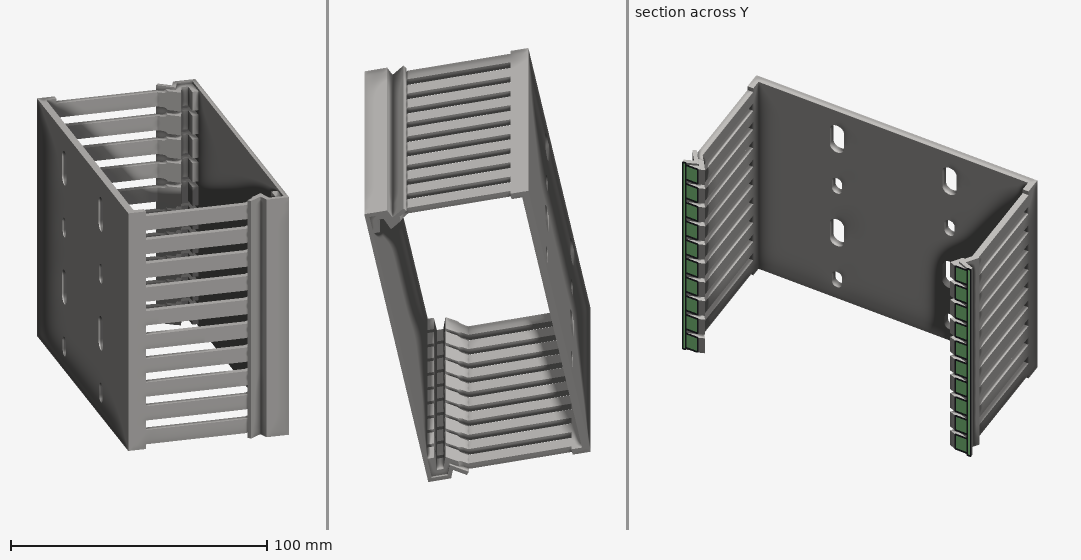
import cadquery as cq
import math

WIDTH = 128.4
DEPTH = 65.0
HEIGHT = 100.0
FRONT_Y = -DEPTH / 2
BACK_Y = DEPTH / 2

COVER_THICKNESS = 1.7
FINGER_THICKNESS = 2.6
FLOOR_THICKNESS = 3.0

JOINT_HALF_WIDTH = WIDTH / 2 - COVER_THICKNESS
SHOULDER_DEPTH = 8.0
WAIST_INSET = 4.6
WAIST_DEPTH = 9.8
COVER_EDGE_DEPTH = 16.4
OUTER_BEND_DEPTH = 17.0
INNER_BEND_DEPTH = 16.7
HEAD_CORNER_DEPTH = 6.8
HEAD_TIP_INSET = 8.0
HEAD_TIP_DEPTH = 8.7
LIP_LENGTH = 8.5

BASE_SIDE_HEIGHT = 7.2

FINGER_COUNT = 10
FINGER_PITCH = HEIGHT / FINGER_COUNT
SLOT_WIDTH = 4.0
SLOT_ROUND_DEPTH = 14.9
SLIT_WIDTH = 2.0

HOLE_COLUMN_X = 25.0
HOLE_PITCH = 25.0
FIRST_HOLE_DEPTH = 14.9
HOLE_SIZES = [(14.3, 6.4), (8.1, 4.5), (14.3, 6.4), (8.1, 4.5)]


def offset_path(points, distance):
    """Shift an open path sideways, to the left of its direction, with mitred corners."""
    directions = []
    for (x0, y0), (x1, y1) in zip(points, points[1:]):
        length = math.hypot(x1 - x0, y1 - y0)
        directions.append(((x1 - x0) / length, (y1 - y0) / length))
    before = [directions[0]] + directions
    after = directions + [directions[-1]]
    shifted = []
    for (x, y), (ax, ay), (bx, by) in zip(points, before, after):
        scale = distance / (1 + ax * bx + ay * by)
        shifted.append((x - (ay + by) * scale, y + (ax + bx) * scale))
    return shifted


def mirrored(points):
    """The same path on the other side of the centre plane, in reverse order."""
    return [(-x, y) for x, y in reversed(points)]


def extrude_outline(points):
    """Prism over the full height of the duct."""
    return cq.Workplane("XY").polyline(points).close().extrude(HEIGHT)


BACK_CORNER = (JOINT_HALF_WIDTH, BACK_Y - COVER_THICKNESS)
SHOULDER = (JOINT_HALF_WIDTH, BACK_Y - SHOULDER_DEPTH)
WAIST = (JOINT_HALF_WIDTH - WAIST_INSET, BACK_Y - WAIST_DEPTH)


def make_cover():
    """Channel of constant thickness whose edges pinch in and flare out again."""
    edge = (JOINT_HALF_WIDTH, BACK_Y - COVER_EDGE_DEPTH)
    right_side = [edge, WAIST, SHOULDER, BACK_CORNER]
    inside = right_side + mirrored(right_side)
    outside = offset_path(inside, -COVER_THICKNESS)
    return extrude_outline(inside + outside[::-1])


def make_trunking_blank():
    """Floor and two side walls with hooked heads, before the wiring slots and holes are cut."""
    inner_half_width = JOINT_HALF_WIDTH - FINGER_THICKNESS
    lip_end = JOINT_HALF_WIDTH - LIP_LENGTH
    lip_front = BACK_Y - COVER_THICKNESS - FINGER_THICKNESS
    outside = [
        (JOINT_HALF_WIDTH, FRONT_Y),
        (JOINT_HALF_WIDTH, BACK_Y - OUTER_BEND_DEPTH),
        WAIST,
        SHOULDER,
        BACK_CORNER,
        (lip_end, BACK_Y - COVER_THICKNESS),
    ]
    inside = [
        (lip_end, lip_front),
        (inner_half_width, lip_front),
        (inner_half_width, BACK_Y - HEAD_CORNER_DEPTH),
        (JOINT_HALF_WIDTH - HEAD_TIP_INSET, BACK_Y - HEAD_TIP_DEPTH),
        (inner_half_width, BACK_Y - INNER_BEND_DEPTH),
        (inner_half_width, FRONT_Y + FLOOR_THICKNESS),
    ]
    right_side = outside + inside
    return extrude_outline(right_side + mirrored(right_side))


def make_slot_cutter(z):
    """Slot with a round upper end and a narrow slit on to the back, across the full width."""
    slot_start = FRONT_Y + BASE_SIDE_HEIGHT
    slot_end = BACK_Y - SLOT_ROUND_DEPTH
    slot = cq.Workplane("XY").box(WIDTH, slot_end - slot_start, SLOT_WIDTH)
    slot = slot.translate((0, (slot_start + slot_end) / 2, z))
    round_end = cq.Workplane("YZ").center(slot_end, z).circle(SLOT_WIDTH / 2).extrude(WIDTH / 2, both=True)
    slit = cq.Workplane("XY").box(WIDTH, BACK_Y - slot_end, SLIT_WIDTH)
    slit = slit.translate((0, (slot_end + BACK_Y) / 2, z))
    return slot.union(round_end).union(slit)


def cut_mounting_holes(body):
    for row, (length, width) in enumerate(HOLE_SIZES):
        z = HEIGHT - FIRST_HOLE_DEPTH - row * HOLE_PITCH
        holes = (
            cq.Workplane("XZ", origin=(0, FRONT_Y, 0))
            .pushPoints([(-HOLE_COLUMN_X, z), (HOLE_COLUMN_X, z)])
            .slot2D(length, width, 90)
            .extrude(-FLOOR_THICKNESS)
        )
        body = body.cut(holes)
    return body


def make_trunking():
    """Base and both rows of fingers in one piece."""
    body = make_trunking_blank()
    for index in range(FINGER_COUNT + 1):
        body = body.cut(make_slot_cutter(index * FINGER_PITCH))
    return cut_mounting_holes(body)


cover = make_cover()
trunking = make_trunking()

result = cq.Compound.makeCompound([*cover.solids().vals(), *trunking.solids().vals()])